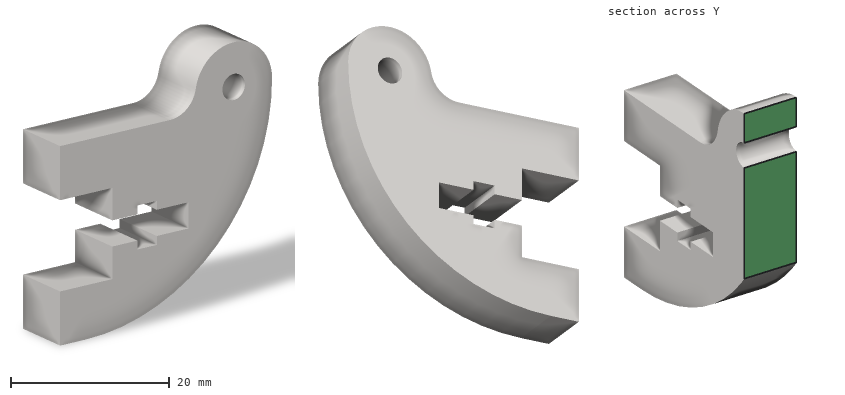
import cadquery as cq
import math

thickness = 8.0
length = 33.0
height = 34.98

eye_radius = 5.98
hole_diameter = 3.5
neck_radius = 4.02

arm_height = 26.62
mouth_height = 12.17
mouth_depth = 8.1
slot_height = 3.5
slot_depth = 20.0
notch_height = 5.88
notch_width = 3.0
notch_start = 12.05

face_y = eye_radius - length
bottom_z = eye_radius - height
arm_top_z = bottom_z + arm_height
slot_z = bottom_z + arm_height / 2
back_radius = -bottom_z
back_center_y = eye_radius - back_radius

neck_center_z = arm_top_z + neck_radius
center_distance = eye_radius + neck_radius
neck_center_y = -math.sqrt(center_distance**2 - neck_center_z**2)
neck_start = (
    neck_center_y * eye_radius / center_distance,
    neck_center_z * eye_radius / center_distance,
)
neck_end = (neck_center_y, arm_top_z)


def toward(center, target, distance):
    """Point at a distance from center in the direction of target."""
    dy = target[0] - center[0]
    dz = target[1] - center[1]
    scale = distance / math.hypot(dy, dz)
    return (center[0] + dy * scale, center[1] + dz * scale)


def make_body():
    """Plate with a round eye, concave neck, straight arm and quarter-round back."""
    neck_center = (neck_center_y, neck_center_z)
    neck_chord_middle = (
        (neck_start[0] + neck_end[0]) / 2,
        (neck_start[1] + neck_end[1]) / 2,
    )
    neck_middle = toward(neck_center, neck_chord_middle, neck_radius)
    back_middle = toward((back_center_y, 0), (back_center_y + 0.35, -0.35), back_radius)
    return (
        cq.Workplane("YZ")
        .moveTo(eye_radius, 0)
        .threePointArc((0, eye_radius), neck_start)
        .threePointArc(neck_middle, neck_end)
        .lineTo(face_y, arm_top_z)
        .lineTo(face_y, bottom_z)
        .lineTo(back_center_y, bottom_z)
        .threePointArc(back_middle, (eye_radius, 0))
        .close()
        .extrude(thickness)
    )


def make_slot_step(start, depth, step_height):
    """Through cutter centred on the slot, starting a distance in from the -Y face."""
    return (
        cq.Workplane("YZ")
        .center(face_y + start + depth / 2, slot_z)
        .rect(depth, step_height)
        .extrude(thickness)
    )


pivot_hole = cq.Workplane("YZ").circle(hole_diameter / 2).extrude(thickness)

result = (
    make_body()
    .cut(pivot_hole)
    .cut(make_slot_step(0, mouth_depth, mouth_height))
    .cut(make_slot_step(0, slot_depth, slot_height))
    .cut(make_slot_step(notch_start, notch_width, notch_height))
)